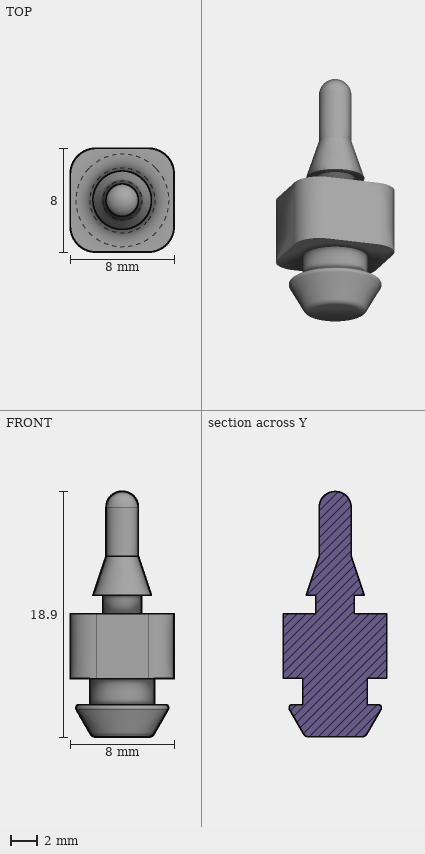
import math

import cadquery as cq

body_width = 8.0
body_corner_radius = 2.0
body_height = 5.0

foot_height = 2.5
foot_top_radius = 3.75
foot_wall_angle = 30.0
foot_bottom_radius = foot_top_radius - foot_height * math.tan(math.radians(foot_wall_angle))
foot_top_fillet = 0.25
foot_bottom_fillet = 0.5
stem_radius = 2.5
stem_length = 2.0

neck_radius = 1.5
neck_length = 1.4
barb_radius = 2.25
barb_length = 3.0
pin_radius = 1.25
overall_height = 18.9

body_bottom = foot_height + stem_length
body_top = body_bottom + body_height
barb_bottom = body_top + neck_length
barb_top = barb_bottom + barb_length
dome_start = overall_height - pin_radius


def make_foot():
    """Upward-flaring cone with both circular edges rounded."""
    profile = (
        cq.Workplane("XZ")
        .lineTo(foot_bottom_radius, 0)
        .lineTo(foot_top_radius, foot_height)
        .lineTo(0, foot_height)
        .close()
    )
    cone = profile.revolve(360, (0, 0), (0, 1))
    cone = cone.faces(">Z").edges().fillet(foot_top_fillet)
    return cone.faces("<Z").edges().fillet(foot_bottom_fillet)


def make_stem():
    """Cylinder between the foot and the body."""
    return cq.Workplane("XY", origin=(0, 0, foot_height)).circle(stem_radius).extrude(stem_length)


def make_body():
    """Rounded square block."""
    return (
        cq.Workplane("XY", origin=(0, 0, body_bottom))
        .rect(body_width, body_width)
        .extrude(body_height)
        .edges("|Z")
        .fillet(body_corner_radius)
    )


def make_pin():
    """Revolved neck, tapered barb and shaft with a hemispherical tip."""
    profile = (
        cq.Workplane("XZ")
        .moveTo(0, body_top)
        .lineTo(neck_radius, body_top)
        .lineTo(neck_radius, barb_bottom)
        .lineTo(barb_radius, barb_bottom)
        .lineTo(pin_radius, barb_top)
        .lineTo(pin_radius, dome_start)
        .radiusArc((0, overall_height), -pin_radius)
        .close()
    )
    return profile.revolve(360, (0, 0), (0, 1))


result = make_foot().union(make_stem()).union(make_body()).union(make_pin())